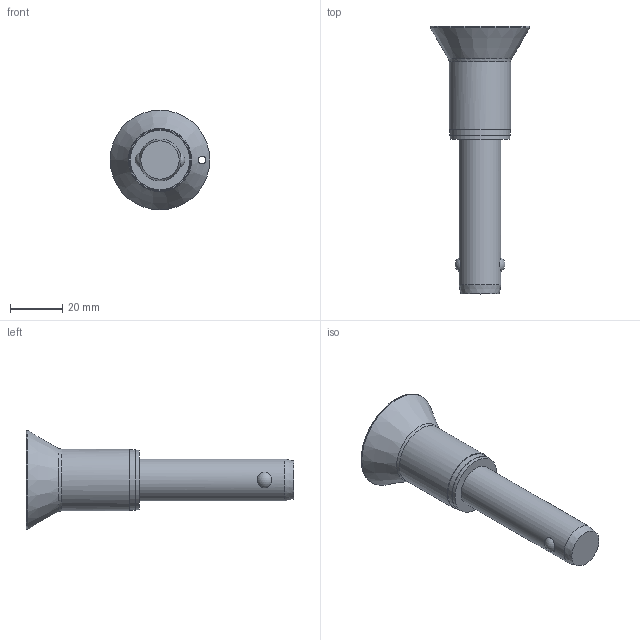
import cadquery as cq


edge_margin = 0.05

flare_diameter = 38.0
body_diameter = 23.5
collar_diameter = 22.9
nose_diameter = 22.6
handle_length = 43.1
rim_thickness = 0.6
rim_fillet_radius = 0.35
flare_length = 13.0
flare_fillet_radius = 2.3
nose_length = 1.5
collar_length = 2.2

shank_diameter = 16.0
shank_length = 59.0
tip_diameter = 14.6
tip_length = 3.5

ball_diameter = 6.4
ball_reach = 9.5
ball_to_tip = 11.2

lanyard_hole_diameter = 3.0
lanyard_hole_offset = 16.0


def turn_about_y(profile):
    """Revolve a closed half profile a full turn about the pin axis."""
    return profile.revolve(360, (0, 0, 0), (0, 1, 0))


def ring_edge(body, diameter, y):
    """Select the circular edge of the given diameter at position y along the axis."""
    radius = diameter / 2
    selector = cq.selectors.BoxSelector(
        (-radius - edge_margin, y - edge_margin, -radius - edge_margin),
        (radius + edge_margin, y + edge_margin, radius + edge_margin),
        boundingbox=True,
    )
    return body.edges(selector)


def make_handle():
    """Flared button, body, collar and nose, turned about Y."""
    flare_start = handle_length - flare_length
    body_start = nose_length + collar_length
    profile = (
        cq.Workplane("XY")
        .lineTo(nose_diameter / 2, 0)
        .lineTo(nose_diameter / 2, nose_length)
        .lineTo(collar_diameter / 2, nose_length)
        .lineTo(collar_diameter / 2, body_start)
        .lineTo(body_diameter / 2, body_start)
        .lineTo(body_diameter / 2, flare_start)
        .lineTo(flare_diameter / 2, handle_length - rim_thickness)
        .lineTo(flare_diameter / 2, handle_length)
        .lineTo(0, handle_length)
        .close()
    )
    handle = turn_about_y(profile)
    handle = ring_edge(handle, body_diameter, flare_start).fillet(flare_fillet_radius)
    return ring_edge(handle, flare_diameter, handle_length).fillet(rim_fillet_radius)


def make_shank():
    """Round shank with a tapered tip, turned about Y."""
    profile = (
        cq.Workplane("XY")
        .lineTo(shank_diameter / 2, 0)
        .lineTo(shank_diameter / 2, tip_length - shank_length)
        .lineTo(tip_diameter / 2, -shank_length)
        .lineTo(0, -shank_length)
        .close()
    )
    return turn_about_y(profile)


def make_ball(side):
    """Locking ball standing out of the shank on the +X (1) or -X (-1) side."""
    center_x = side * (ball_reach - ball_diameter / 2)
    center_y = ball_to_tip - shank_length
    return cq.Workplane("XY").sphere(ball_diameter / 2).translate((center_x, center_y, 0))


def make_lanyard_hole():
    """Cutter running along Y through the flare."""
    return (
        cq.Workplane("XZ")
        .center(lanyard_hole_offset, 0)
        .circle(lanyard_hole_diameter / 2)
        .extrude(-handle_length)
    )


handle = make_handle().cut(make_lanyard_hole())
result = handle.union(make_shank())
for side in (-1, 1):
    result = result.union(make_ball(side))